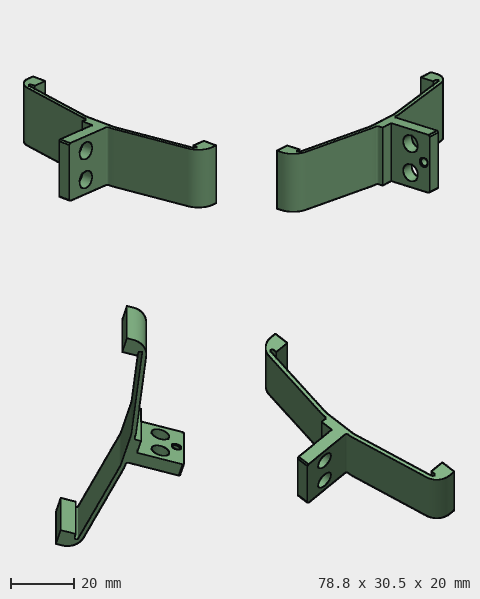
import cadquery as cq
import math

span = 78.79
depth = 30.5
height = 20.0
thickness = 1.43
half_span = span / 2

tip_y = -depth
web_back_y = -11.36
web_front_y = web_back_y - thickness
ledge_y = -15.0

arm_angle = math.radians(10.0)
bend_radius = 10.5

hook_width = 5.3
hook_depth = 5.0
hook_flat = 2.1
hook_radius = 5.75
slot_radius = 0.59

foot_left_x = -4.45
plate_left_x = 0.0
plate_right_x = 4.35
foot_fillet = 0.65
tip_chamfer = 0.5

mount_diameter = 5.8
mount_spacing = 10.0
mount_y = -22.72
pilot_diameter = 2.5
pilot_rim_diameter = 3.2
pilot_depth = 3.0
pilot_point_angle = math.radians(118.0)
pilot_y = -28.0


def arc_point(center, radius, angle):
    """Point on a circle at the given angle in radians."""
    return (center[0] + radius * math.cos(angle), center[1] + radius * math.sin(angle))


def arm():
    """Right-hand arm with its hook, from the middle of the web to the outer end."""
    slope = math.tan(arm_angle)
    quarter = math.pi / 2

    corner_center = (half_span - hook_radius, -hook_flat)
    corner_mid = arc_point(corner_center, hook_radius, (arm_angle - quarter) / 2)
    corner_end = arc_point(corner_center, hook_radius, arm_angle - quarter)

    front_corner_x = corner_end[0] - (corner_end[1] - web_front_y) / slope
    front_trim = bend_radius * math.tan(arm_angle / 2)
    front_bend_start = (front_corner_x - front_trim, web_front_y)
    bend_center = (front_bend_start[0], web_front_y + bend_radius)
    front_bend_mid = arc_point(bend_center, bend_radius, arm_angle / 2 - quarter)
    front_bend_end = arc_point(bend_center, bend_radius, arm_angle - quarter)

    back_radius = bend_radius - thickness
    back_bend_start = (bend_center[0], web_back_y)
    back_bend_mid = arc_point(bend_center, back_radius, arm_angle / 2 - quarter)
    back_bend_end = arc_point(bend_center, back_radius, arm_angle - quarter)

    slot_center_y = -hook_depth - slot_radius
    arm_to_slot = slot_radius / math.cos(arm_angle)
    slot_rise = slot_center_y - arm_to_slot - back_bend_end[1]
    slot_center_x = back_bend_end[0] + slot_rise / slope
    slot_center = (slot_center_x, slot_center_y)
    slot_start = arc_point(slot_center, slot_radius, arm_angle - quarter)
    slot_mid = arc_point(slot_center, slot_radius, arm_angle / 2)
    slot_end = arc_point(slot_center, slot_radius, quarter)

    hook_inner_x = half_span - hook_width
    return (
        cq.Workplane("XY")
        .workplane(offset=-height / 2)
        .moveTo(0, web_back_y)
        .lineTo(*back_bend_start)
        .threePointArc(back_bend_mid, back_bend_end)
        .lineTo(*slot_start)
        .threePointArc(slot_mid, slot_end)
        .lineTo(hook_inner_x, -hook_depth)
        .lineTo(hook_inner_x, 0)
        .lineTo(half_span, 0)
        .lineTo(half_span, -hook_flat)
        .threePointArc(corner_mid, corner_end)
        .lineTo(*front_bend_end)
        .threePointArc(front_bend_mid, front_bend_start)
        .lineTo(0, web_front_y)
        .close()
        .extrude(height)
    )


def box(x_min, x_max, y_min, y_max):
    """Full-height block between the given X and Y limits."""
    return (
        cq.Workplane("XY")
        .box(x_max - x_min, y_max - y_min, height)
        .translate(((x_min + x_max) / 2, (y_min + y_max) / 2, 0))
    )


def plate():
    """Mounting plate with its top and bottom tip edges chamfered."""
    return box(plate_left_x, plate_right_x, tip_y, web_back_y).faces("<Y").edges("|X").chamfer(tip_chamfer)


def mounting_holes():
    """Pair of cylinders crossing the plate along X."""
    return (
        cq.Workplane("YZ", origin=(plate_left_x, 0, 0))
        .pushPoints([(mount_y, -mount_spacing / 2), (mount_y, mount_spacing / 2)])
        .circle(mount_diameter / 2)
        .extrude(plate_right_x - plate_left_x)
    )


def pilot_hole():
    """Blind drilled hole with a conical bottom and a 45 degree rim chamfer."""
    radius = pilot_diameter / 2
    rim_radius = pilot_rim_diameter / 2
    point_depth = radius / math.tan(pilot_point_angle / 2)
    return (
        cq.Workplane("XY")
        .polyline([
            (0, 0),
            (0, rim_radius),
            (rim_radius - radius, radius),
            (pilot_depth, radius),
            (pilot_depth + point_depth, 0),
        ])
        .close()
        .revolve(360, (0, 0), (1, 0))
        .translate((plate_left_x, pilot_y, 0))
    )


def fillet_root(body, x):
    """Round the inside corner where the web's front face meets a side wall at the given X."""
    corner = cq.selectors.NearestToPointSelector((x, web_front_y, 0))
    return body.edges("|Z").edges(corner).fillet(foot_fillet)


right_arm = arm()
body = right_arm.union(right_arm.mirror("YZ"))
body = body.union(box(foot_left_x, plate_right_x, ledge_y, web_back_y))
body = body.union(plate()).clean()
for wall_x in (foot_left_x, plate_right_x):
    body = fillet_root(body, wall_x)

result = body.cut(mounting_holes()).cut(pilot_hole())